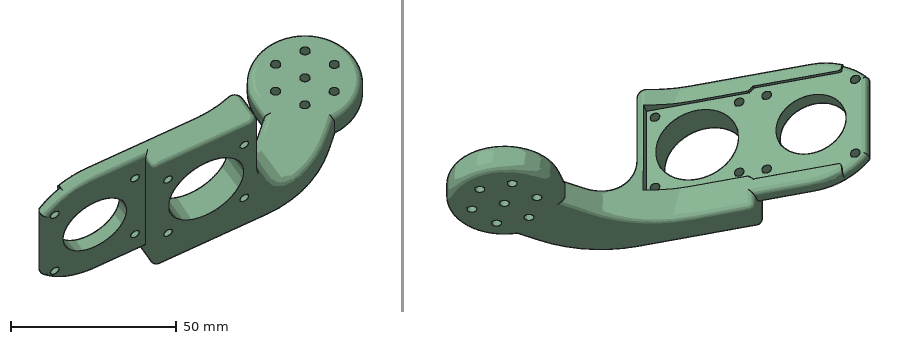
import cadquery as cq
import math


pad_round = 3.0
edge_round = 2.0

pad_radius = 17.5
pad_thickness = 10.0
pad_tab_length = 12.5
screw_diameter = 3.0
pad_bolt_radius = 10.2
pad_bolt_count = 6

height = 50.9
inner_x = 23.0
outer_x = 33.6
web_back_x = 28.6
plate_start_y = -34.8
block_end_y = -71.9
tip_y = pad_radius - 124.8
web_bottom_z = 5.0
seat_z = (height + web_bottom_z) / 2

bend_radius = 40.0
bend_angle = math.radians(45)
inner_bend_end_y = -51.4
outer_bend_end_y = -32.3
rise_radius = 15.0

large_bore = 26.1
large_seat_y = -53.7
large_bolt_pitch = 26.6
small_bore = 22.1
small_seat_y = -89.6
small_bolt_pitch = 28.0
web_end_radius = height - seat_z

recess_floor_x = 24.0
recess_start_y = -37.7
recess_step_y = -70.1
recess_half_height = 16.1
recess_step = 1.5
recess_open_y = -99.5
recess_corner_round = 1.0
clearance = 12.5
tolerance = 0.1


def bend_point(face_x, end_y, angle):
    """Point on an arm bend, `angle` back from where it meets a straight face."""
    return (
        face_x - bend_radius * (1 - math.cos(angle)),
        end_y + bend_radius * math.sin(angle),
    )


def box_between(low, high):
    """Box given by its lowest and highest corners."""
    size = [b - a for a, b in zip(low, high)]
    return cq.Workplane("XY").box(*size, centered=False).translate(low)


def make_pad():
    """Disc with a straight tab that runs along the -Y side into the arm."""
    disc = cq.Workplane("XY").circle(pad_radius).extrude(pad_thickness)
    disc = disc.edges("%CIRCLE").fillet(pad_round)
    tab = box_between((0, -pad_radius, 0), (pad_tab_length, 0, pad_thickness))
    tab = tab.faces("<Y").edges("|X").fillet(pad_round)
    return disc.union(tab)


def make_arm_and_block():
    """Curved arm and thick block: one plan outline, cut away above the arm."""
    inner_start = bend_point(inner_x, inner_bend_end_y, bend_angle)
    outer_start = bend_point(outer_x, outer_bend_end_y, bend_angle)
    inner_root = (inner_start[0] + inner_start[1]) / 2
    outer_root = (outer_start[0] + outer_start[1]) / 2
    plan = (
        cq.Workplane("XY")
        .moveTo(inner_root, inner_root)
        .lineTo(*inner_start)
        .threePointArc(
            bend_point(inner_x, inner_bend_end_y, bend_angle / 2),
            (inner_x, inner_bend_end_y),
        )
        .lineTo(inner_x, block_end_y)
        .lineTo(outer_x, block_end_y)
        .lineTo(outer_x, outer_bend_end_y)
        .threePointArc(
            bend_point(outer_x, outer_bend_end_y, bend_angle / 2),
            outer_start,
        )
        .lineTo(outer_root, outer_root)
        .close()
        .extrude(height)
    )
    rise_start_y = plate_start_y + rise_radius
    rise_top_z = pad_thickness + rise_radius
    rise_mid = rise_radius * math.sin(bend_angle)
    above_arm = (
        cq.Workplane("YZ")
        .moveTo(pad_radius, pad_thickness)
        .lineTo(rise_start_y, pad_thickness)
        .threePointArc(
            (rise_start_y - rise_mid, rise_top_z - rise_mid),
            (plate_start_y, rise_top_z),
        )
        .lineTo(plate_start_y, height + clearance)
        .lineTo(pad_radius, height + clearance)
        .close()
        .extrude(2 * outer_x, both=True)
    )
    body = plan.cut(above_arm)

    rim_zone = cq.selectors.BoxSelector(
        (-pad_radius, plate_start_y - tolerance, pad_thickness - tolerance),
        (outer_x, pad_radius, height + tolerance),
    )
    upper_rim = body.edges(rim_zone).edges("not (|X or |(1,1,0))")
    plate_end_top = body.faces(">Z").edges(">Y")
    body = upper_rim.add(plate_end_top).fillet(pad_round)

    bottom_rim = body.faces("<Z").edges("not |(1,1,0)")
    top_rim = body.faces(">Z").edges("not >Y")
    end_corners = body.faces("<Y").edges("|Z")
    return bottom_rim.add(top_rim).add(end_corners).fillet(edge_round)


def make_web(front_x):
    """Rounded-end plate from `front_x` to the web back; its +Y end lies inside the block."""
    straight = box_between(
        (front_x, tip_y, web_bottom_z),
        (web_back_x, block_end_y + clearance, height),
    )
    rounding = box_between(
        (front_x, small_seat_y, web_bottom_z),
        (web_back_x, block_end_y + clearance, height),
    ).union(
        cq.Workplane("YZ", origin=(front_x, small_seat_y, seat_z))
        .circle(web_end_radius)
        .extrude(web_back_x - front_x)
    )
    web = straight.intersect(rounding)
    return web.faces("<X or >X").edges("not >Y").fillet(edge_round)


def make_recess():
    """Cutter for the shallow motor recess, symmetric about the seat height."""
    low = recess_half_height
    high = low + recess_step
    corner_mid = recess_corner_round * math.sqrt(0.5)
    corner_y = recess_open_y + recess_corner_round
    corner_z = high + recess_corner_round
    upper_half = (
        cq.Workplane("YZ", origin=(0, 0, seat_z))
        .moveTo(recess_start_y, 0)
        .lineTo(recess_start_y, low)
        .lineTo(recess_step_y, low)
        .lineTo(recess_step_y - recess_step, high)
        .lineTo(corner_y, high)
        .threePointArc(
            (corner_y - corner_mid, corner_z - corner_mid),
            (recess_open_y, corner_z),
        )
        .lineTo(recess_open_y, height)
        .lineTo(tip_y - clearance, height)
        .lineTo(tip_y - clearance, 0)
        .close()
        .extrude(recess_floor_x)
    )
    lower_half = upper_half.mirror("XY", (0, 0, seat_z))
    return upper_half.union(lower_half)


def seat_holes(seat_y, bore, bolt_pitch):
    """Central bore and four corner screw holes, all running along X."""
    seat = cq.Workplane("YZ", origin=(0, seat_y, seat_z))
    holes = seat.circle(bore / 2).extrude(2 * outer_x)
    screws = seat.rect(bolt_pitch, bolt_pitch, forConstruction=True).vertices()
    return holes.union(screws.circle(screw_diameter / 2).extrude(2 * outer_x))


def pad_holes():
    """Screw holes through the pad: one in the centre and a ring around it."""
    ring = cq.Workplane("XY").polarArray(pad_bolt_radius, 90, 360, pad_bolt_count)
    centres = ring.pushPoints(ring.vals() + [cq.Location(cq.Vector(0, 0, 0))])
    return centres.circle(screw_diameter / 2).extrude(pad_thickness)


tip_zone = box_between(
    (inner_x, tip_y, web_bottom_z),
    (web_back_x, recess_open_y, height),
)
thick_web = make_web(inner_x).cut(tip_zone)
bracket = make_arm_and_block().union(thick_web).cut(make_recess())
bracket = bracket.union(make_web(recess_floor_x)).union(make_pad())
bracket = bracket.cut(seat_holes(large_seat_y, large_bore, large_bolt_pitch))
bracket = bracket.cut(seat_holes(small_seat_y, small_bore, small_bolt_pitch))
result = bracket.cut(pad_holes())